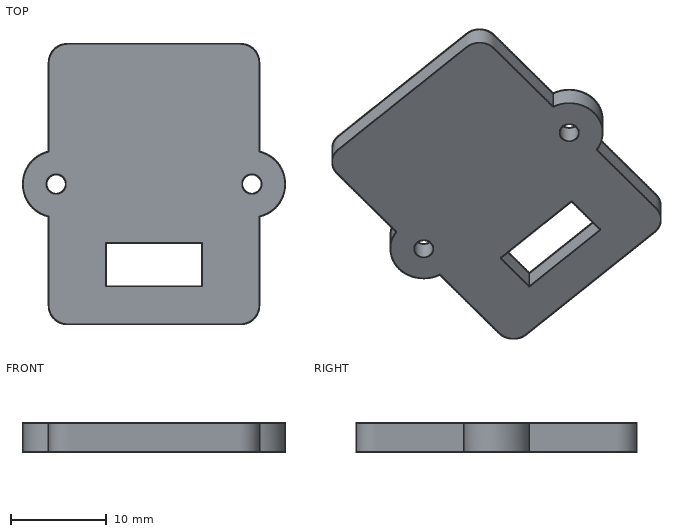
import cadquery as cq

plate_width = 22.07
plate_length = 29.37
thickness = 3.05
corner_radius = 2.0

overall_width = 27.47
ear_radius = 3.5
screw_hole_diameter = 2.0
ear_spacing = overall_width - 2 * ear_radius
ear_centers = [(-ear_spacing / 2, 0), (ear_spacing / 2, 0)]

window_width = 10.0
window_length = 4.5
window_edge_margin = 4.0
window_center_y = -plate_length / 2 + window_edge_margin + window_length / 2


def make_plate():
    """Flat plate with rounded vertical corners, resting on Z = 0."""
    plate = cq.Workplane("XY").rect(plate_width, plate_length).extrude(thickness)
    return plate.edges("|Z").fillet(corner_radius)


def make_cylinders(diameter):
    """Full-thickness cylinders at both ear centers."""
    return cq.Workplane("XY").pushPoints(ear_centers).circle(diameter / 2).extrude(thickness)


def make_window():
    """Full-thickness block that cuts the window."""
    return (
        cq.Workplane("XY")
        .center(0, window_center_y)
        .rect(window_width, window_length)
        .extrude(thickness)
    )


ears = make_cylinders(2 * ear_radius)
screw_holes = make_cylinders(screw_hole_diameter)

result = make_plate().union(ears).cut(screw_holes).cut(make_window())